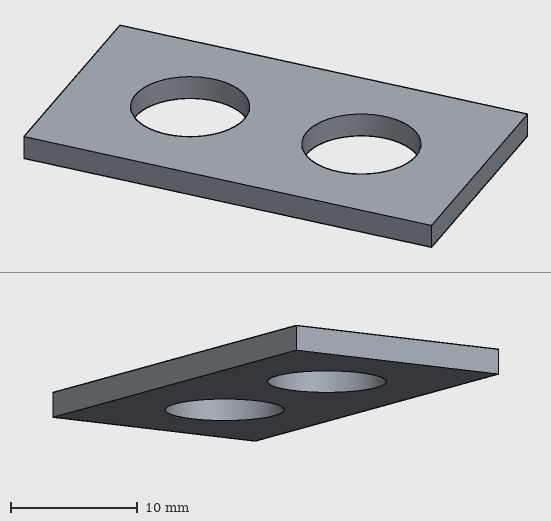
import cadquery as cq

length = 35.05
width = 19.05
thickness = 2.0

hole_diameter = 9.4
hole_spacing = 14.72

plate = cq.Workplane("XY").box(length, width, thickness)

result = (
    plate.faces(">Z")
    .workplane()
    .rarray(hole_spacing, 0.35, 2, 1)
    .hole(hole_diameter)
)